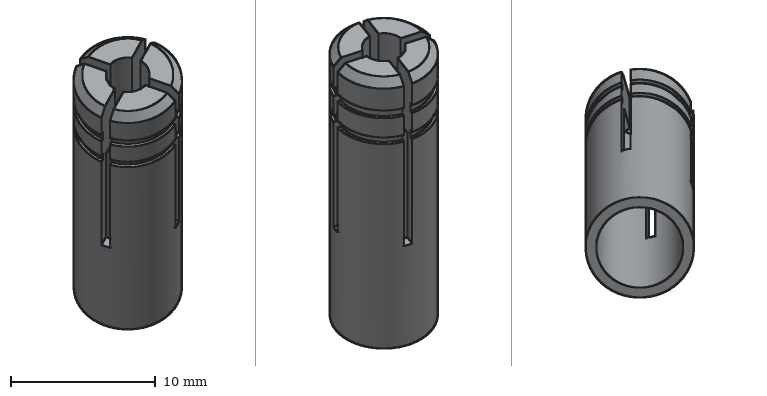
import cadquery as cq

length = 24
outer_diameter = 7.5
bore_diameter = 6
nose_bore_diameter = 3.0
nose_length = 5.6
nose_chamfer = 0.6

grooves = [(2.57, 0.7), (5.0, 0.6)]
groove_depth = 0.25

slot_width = 0.65
slot_length = 15.0


def make_sleeve():
    """Hollow cylinder with a thick, chamfered nose at the top."""
    body = cq.Workplane("XY").circle(outer_diameter / 2).extrude(length)
    body = body.faces(">Z").chamfer(nose_chamfer)
    wide_bore = cq.Workplane("XY").circle(bore_diameter / 2).extrude(length - nose_length)
    nose_bore = cq.Workplane("XY").circle(nose_bore_diameter / 2).extrude(length)
    return body.cut(wide_bore).cut(nose_bore)


def make_groove(top_offset, width):
    """Ring of material to remove for one outer groove."""
    return (
        cq.Workplane("XY", origin=(0, 0, length - top_offset - width))
        .circle(outer_diameter / 2)
        .circle(outer_diameter / 2 - groove_depth)
        .extrude(width)
    )


def make_slot(angle):
    """Full-width slot running down from the top, turned about the axis."""
    return (
        cq.Workplane("XY", origin=(0, 0, length - slot_length))
        .rect(2 * outer_diameter, slot_width)
        .extrude(slot_length)
        .rotate((0, 0, 0), (0, 0, 1), angle)
    )


result = make_sleeve()

for top_offset, width in grooves:
    result = result.cut(make_groove(top_offset, width))

for angle in (0, 90):
    result = result.cut(make_slot(angle))